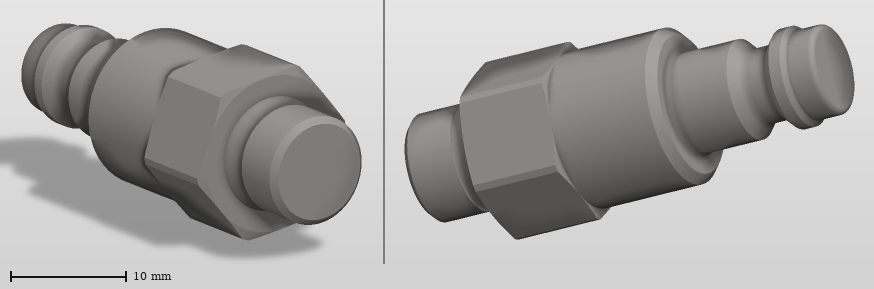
import cadquery as cq
import math

collar_start = 2.55
collar_end = 4.1
groove_end = 8.25
body_start = 14.1
hex_start = 24.4
hex_end = 32.95
relief_cone_end = 33.7
thread_start = 35.2
total_length = 40.0

nose_diameter = 8.1
shank_diameter = 9.0
lock_groove_diameter = 6.7
body_diameter = 14.0
relief_diameter = 8.25
thread_diameter = 9.7

across_flats = 14.0
corner_diameter = 15.8
hex_turn = -20.0
corner_bevel_angle = 15.0

nose_fillet = 0.5
lock_groove_fillet = 1.0
shank_fillet = 0.5
body_chamfer = 0.8
relief_arc_radius = 0.95
thread_chamfer = 0.55

SIN_45 = math.sin(math.radians(45))


def on_circle(center, radius, angle):
    """Point (x, r) on a profile circle, with the angle in degrees from +X."""
    turn = math.radians(angle)
    return (center[0] + radius * math.cos(turn), center[1] + radius * math.sin(turn))


def revolve_about_x(profile):
    """Turn a closed XY profile about the X axis."""
    return profile.close().revolve(360, (0, 0, 0), (1, 0, 0))


def make_plug_and_body():
    """Nose, locking collar, locking groove, shank and cylindrical body."""
    nose_radius = nose_diameter / 2
    shank_radius = shank_diameter / 2
    body_radius = body_diameter / 2
    groove_radius = lock_groove_diameter / 2
    nose_center = (nose_fillet, nose_radius - nose_fillet)
    collar_step = shank_radius - nose_radius

    blend_center_r = groove_radius + lock_groove_fillet
    blend_end_r = blend_center_r - lock_groove_fillet * SIN_45
    flank_length = shank_radius - blend_end_r
    blend_length = lock_groove_fillet * SIN_45
    left_center = (collar_end + flank_length + blend_length, blend_center_r)
    right_center = (groove_end - flank_length - blend_length, blend_center_r)
    shank_center = (body_start - shank_fillet, shank_radius + shank_fillet)

    profile = (
        cq.Workplane("XY")
        .moveTo(0, 0)
        .lineTo(0, nose_center[1])
        .threePointArc(on_circle(nose_center, nose_fillet, 135), (nose_fillet, nose_radius))
        .lineTo(collar_start, nose_radius)
        .lineTo(collar_start + collar_step, shank_radius)
        .lineTo(collar_end, shank_radius)
        .lineTo(*on_circle(left_center, lock_groove_fillet, 225))
        .threePointArc(
            on_circle(left_center, lock_groove_fillet, 247.5),
            on_circle(left_center, lock_groove_fillet, 270),
        )
        .lineTo(right_center[0], groove_radius)
        .threePointArc(
            on_circle(right_center, lock_groove_fillet, 292.5),
            on_circle(right_center, lock_groove_fillet, 315),
        )
        .lineTo(groove_end, shank_radius)
        .lineTo(shank_center[0], shank_radius)
        .threePointArc(
            on_circle(shank_center, shank_fillet, 315),
            on_circle(shank_center, shank_fillet, 0),
        )
        .lineTo(body_start, body_radius - body_chamfer)
        .lineTo(body_start + body_chamfer, body_radius)
        .lineTo(hex_start, body_radius)
        .lineTo(hex_start, 0)
    )
    return revolve_about_x(profile)


def make_hexagon():
    """Turned hexagon whose corners are turned round and beveled at both ends."""
    flat_radius = across_flats / 2
    corner_radius = corner_diameter / 2
    bevel_length = (corner_radius - flat_radius) * math.tan(math.radians(corner_bevel_angle))
    prism = (
        cq.Workplane("YZ", origin=(hex_start, 0, 0))
        .polygon(6, across_flats, circumscribed=True)
        .extrude(hex_end - hex_start)
        .rotate((0, 0, 0), (1, 0, 0), hex_turn)
    )
    envelope = revolve_about_x(
        cq.Workplane("XY")
        .moveTo(hex_start, 0)
        .lineTo(hex_start, flat_radius)
        .lineTo(hex_start + bevel_length, corner_radius)
        .lineTo(hex_end - bevel_length, corner_radius)
        .lineTo(hex_end, flat_radius)
        .lineTo(hex_end, 0)
    )
    return prism.intersect(envelope)


def make_threaded_end():
    """Relief groove behind the hexagon and the plain thread cylinder."""
    thread_radius = thread_diameter / 2
    center = (
        relief_cone_end + relief_arc_radius * SIN_45,
        relief_diameter / 2 + relief_arc_radius,
    )

    cone_end = on_circle(center, relief_arc_radius, 225)
    cone_start_radius = cone_end[1] + relief_cone_end - hex_end
    back_face_angle = -math.degrees(math.acos((thread_start - center[0]) / relief_arc_radius))

    profile = (
        cq.Workplane("XY")
        .moveTo(hex_end, 0)
        .lineTo(hex_end, cone_start_radius)
        .lineTo(*cone_end)
        .threePointArc(
            on_circle(center, relief_arc_radius, 270),
            on_circle(center, relief_arc_radius, back_face_angle),
        )
        .lineTo(thread_start, thread_radius)
        .lineTo(total_length - thread_chamfer, thread_radius)
        .lineTo(total_length, thread_radius - thread_chamfer)
        .lineTo(total_length, 0)
    )
    return revolve_about_x(profile)


result = make_plug_and_body().union(make_hexagon()).union(make_threaded_end())